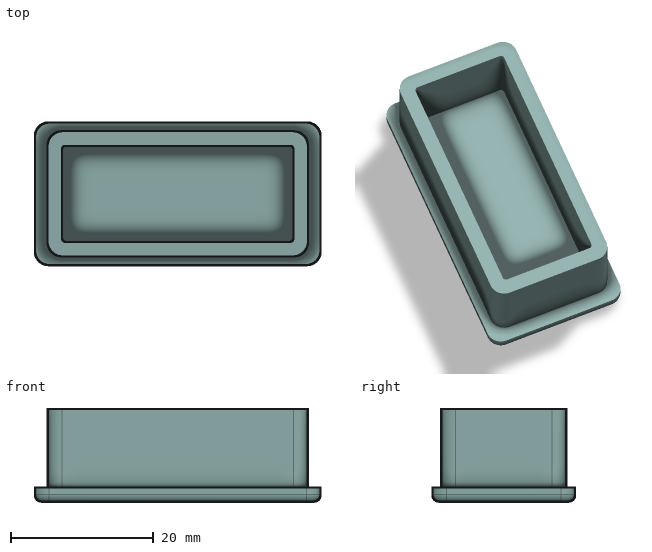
import cadquery as cq

flange_length = 40
flange_width = 20
flange_thickness = 2
flange_corner_radius = 2
flange_edge_radius = 1.0

plug_length = 36.45
plug_width = 17.5
total_height = 13.0
wall_thickness = 2.05
outer_corner_radius = 2.05
pocket_corner_radius = 0.5
floor_height = 2

plug_height = total_height - flange_thickness
pocket_length = plug_length - 2 * wall_thickness
pocket_width = plug_width - 2 * wall_thickness
pocket_depth = total_height - floor_height


def rounded_block(length, width, height, corner_radius, base_z):
    """Centred block with rounded vertical edges, standing on base_z."""
    block = cq.Workplane("XY").workplane(offset=base_z).rect(length, width).extrude(height)
    return block.edges("|Z").fillet(corner_radius)


flange = rounded_block(flange_length, flange_width, flange_thickness, flange_corner_radius, 0)
flange = flange.faces("<Z").edges().fillet(flange_edge_radius)

plug = rounded_block(plug_length, plug_width, plug_height, outer_corner_radius, flange_thickness)
pocket = rounded_block(pocket_length, pocket_width, pocket_depth, pocket_corner_radius, floor_height)

result = flange.union(plug).cut(pocket)